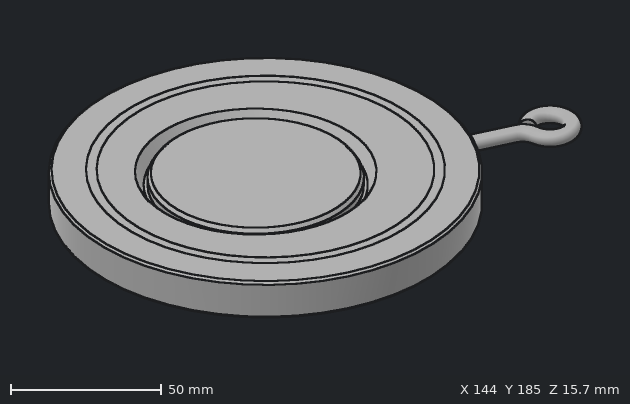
import cadquery as cq
import math

body_diameter = 144.0
overall_thickness = 15.7
ring_projection = 0.7
body_thickness = overall_thickness - 2 * ring_projection
half_thickness = body_thickness / 2
edge_chamfer = 1.0

ring_section_diameter = 5.0
ring_mean_diameter = 115.8

recess_offset_y = -3.5
recess_top_diameter = 80.3
recess_floor_diameter = 74.5
recess_depth = 5.2
flap_diameter = 72.0
flap_chamfer_height = 1.7
flap_chamfer_width = 1.1
flap_drop = 0.5

rod_diameter = 6.0
eye_mean_radius = 7.5
eye_top_y = 185 - body_diameter / 2
eye_center_y = eye_top_y - eye_mean_radius - rod_diameter / 2
rod_straight_end_y = 89.7
rod_embedment = 3.7
eye_tip_angle = 18


def make_body():
    body = cq.Workplane("XY").circle(body_diameter / 2).extrude(body_thickness)
    body = body.translate((0, 0, -half_thickness))
    return body.edges().chamfer(edge_chamfer)


def make_sealing_ring(side):
    center_z = side * (overall_thickness / 2 - ring_section_diameter / 2)
    return (
        cq.Workplane("XZ")
        .center(ring_mean_diameter / 2, center_z)
        .circle(ring_section_diameter / 2)
        .revolve(360, (-ring_mean_diameter / 2, 0), (-ring_mean_diameter / 2, 1))
    )


def make_recess():
    """Annular cavity: a conical outer wall with the chamfered flap left standing inside it."""
    floor = cq.Workplane("XY", origin=(0, recess_offset_y, half_thickness - recess_depth))
    cavity = (
        floor.circle(recess_floor_diameter / 2)
        .workplane(offset=recess_depth)
        .circle(recess_top_diameter / 2)
        .loft(ruled=True)
    )
    flap = (
        floor.circle(flap_diameter / 2)
        .extrude(recess_depth - flap_drop)
        .faces(">Z")
        .chamfer(flap_chamfer_height, flap_chamfer_width)
    )
    return cavity.cut(flap)


def eye_point(angle):
    """Point on the eye's centre line, with the angle counter-clockwise from its lowest point."""
    return (
        eye_mean_radius * math.sin(angle),
        eye_center_y - eye_mean_radius * math.cos(angle),
    )


def make_eye_hook():
    rise = eye_center_y - rod_straight_end_y
    bend_radius = (rise**2 - eye_mean_radius**2) / (2 * eye_mean_radius)
    join_angle = math.atan2(bend_radius, rise)
    tip_angle = 2 * math.pi - math.radians(eye_tip_angle)
    half_turn = (math.pi / 2 - join_angle) / 2
    bend_middle = (
        bend_radius * (1 - math.cos(half_turn)),
        rod_straight_end_y + bend_radius * math.sin(half_turn),
    )
    start_y = body_diameter / 2 - rod_embedment
    path = (
        cq.Workplane("XY")
        .moveTo(0, start_y)
        .lineTo(0, rod_straight_end_y)
        .threePointArc(bend_middle, eye_point(join_angle))
        .threePointArc(eye_point((join_angle + tip_angle) / 2), eye_point(tip_angle))
    )
    section = cq.Workplane("XZ", origin=(0, start_y, 0)).circle(rod_diameter / 2)
    return section.sweep(path)


result = make_body().cut(make_recess())
for side in (1, -1):
    result = result.union(make_sealing_ring(side))
result = result.union(make_eye_hook())